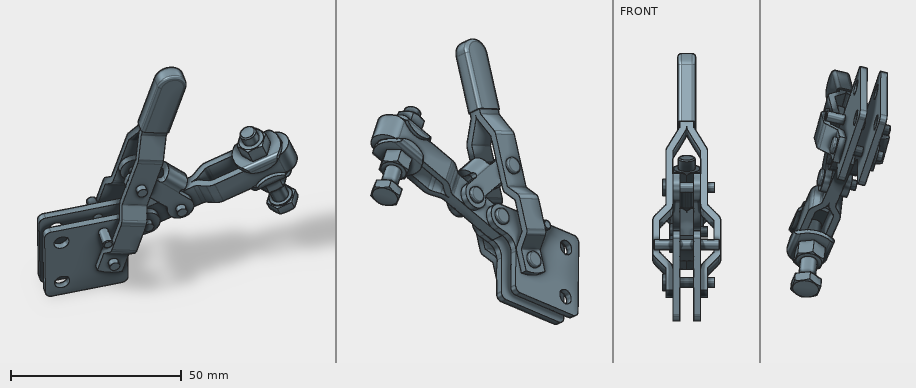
import cadquery as cq
import math


SHEET = 2.05
PLATE_INNER = SHEET
PLATE_OUTER = 2 * SHEET
HANDLE_OUTER = 3 * SHEET
OVERALL_WIDTH = 20.0
STRAP_HALF_WIDTH = 3.95

BASE_ANGLE = -0.7
BASE_FRONT = 6.0
BASE_BACK = 31.1
BASE_BOTTOM = -22.23
BASE_CORNER_R = 2.0
EAR_R = 4.0
EAR_SLOPE = 12.5
EAR_NECK_R = 4.7
MOUNT_HOLE_D = 4.5
MOUNT_HOLE_FORWARD = 26.0
MOUNT_HOLE_UPS = (-1.1, -17.2)
HANDLE_PIVOT_IN_BASE = (11.0, -11.1)
STOP_PIN_IN_BASE = (13.3, 0.0)

ARM_ANGLE = 160.5
ARM_LINK_PIVOT = 10.8
ARM_INNER = 2.8
ARM_BEND_START = 18.3
ARM_BEND_END = 22.25
ARM_BEND_R = 2.3
ARM_LENGTH = 47.95
STRAP_TAIL = 3.5
STRAP_TAIL_BULGE = 0.55

HANDLE_ANGLE = 106.8
HANDLE_LINK_PIVOT = 29.1
HANDLE_BEND_R = 0.35
HANDLE_LOWER_BEND = (4.08, 8.12)
HANDLE_MIDDLE_BEND = (17.8, 21.8)
HANDLE_UPPER_BEND = (38.95, 45.95)
GRIP_START = 48.06
GRIP_END = 69.9
GRIP_HALF_WIDTH = 4.45
GRIP_THICKNESS = 5.28
GRIP_ROUND = 1.05
TONGUE_END = 60.0

LINK_EYE_R = 4.0
LINK_NECK_OFFSET = 2.05
LINK_NECK_R = 1.5
HOOD_START = 4.0
HOOD_END = 12.1
HOOD_TOP = 7.9
HOOD_BEND_R = 3.8
HOOD_END_R = 1.3
RELIEF_R = 0.9
RELIEF_ALONG = 4.13
RELIEF_ACROSS = 4.8

PIN_D = 3.0
PIN_HEAD_D = 5.0
PIN_HEAD_H = 1.0
PIN_HEAD_ROUND = 0.4
PIN_TAIL = 2.0
STOP_PIN_LENGTH = 19.5
STOP_PIN_CHAMFER = 0.3

BOLT_ALONG = 38.2
BOLT_D = 5.0
BOLT_LENGTH = 30.0
BOLT_TOP = 13.35
BOLT_TIP_CHAMFER = 0.4
HEX_FLATS = 8.0
HEX_CHAMFER_DEPTH = 0.4
HEX_CHAMFER_WIDTH = 0.8
HEAD_H = 3.5
HEAD_COLLAR_D = 7.2
HEAD_COLLAR_H = 0.5
NUT_H = 4.7
WASHER_R = 7.5
WASHER_THICKNESS = 1.3
WASHER_HALF_WIDTH = 6.1
WASHER_BEND_R = 1.6
WASHER_LAP = 1.8
WASHER_LAP_R = 7.1


def offset(point, distance, angle):
    """The clamp-plane point at a distance and angle from another."""
    turn = math.radians(angle)
    return (point[0] + distance * math.cos(turn), point[1] + distance * math.sin(turn))


def direction(angle):
    forward, up = offset((0, 0), 1, angle)
    return cq.Vector(0, -forward, up)


def side_plane(point, angle):
    """Plane of a link's side: x along the link, y across it, normal -X."""
    return cq.Workplane(cq.Plane((0, -point[0], point[1]), direction(angle), (-1, 0, 0)))


def edge_plane(point, angle):
    """Plane of a link's edge: x along the link, y is +X, normal across the link."""
    return cq.Workplane(cq.Plane((0, -point[0], point[1]), direction(angle), direction(angle + 90)))


def both_sides(shape):
    return shape.union(shape.mirror("YZ"))


def rounded_outline(plane, corners):
    """Closed outline through (x, y, radius) corners; a zero radius leaves the corner sharp."""
    sketch = plane
    count = len(corners)
    for i, (x, y, radius) in enumerate(corners):
        here = cq.Vector(x, y)
        before = (cq.Vector(*corners[i - 1][:2]) - here).normalized()
        after = (cq.Vector(*corners[(i + 1) % count][:2]) - here).normalized()
        half_angle = before.getAngle(after) / 2
        reach = radius / math.tan(half_angle)
        start = here + before * reach
        bisector = (before + after).normalized()
        middle = here + bisector * (radius / math.sin(half_angle) - radius)
        end = here + after * reach
        if i == 0:
            sketch = sketch.moveTo(start.x, start.y)
        else:
            sketch = sketch.lineTo(start.x, start.y)
        if radius:
            sketch = sketch.threePointArc((middle.x, middle.y), (end.x, end.y))
    return sketch.close()


def bent_strap(plane, inner_points, bend_r):
    """Strap of sheet thickness whose inner face follows (along, x) points, full width across."""
    last = len(inner_points) - 1
    inner = []
    outer = []
    for i, (along, x) in enumerate(inner_points):
        before = inner_points[max(i - 1, 0)]
        after = inner_points[min(i + 1, last)]
        angle_in = math.atan2(x - before[1], along - before[0]) if i > 0 else 0
        angle_out = math.atan2(after[1] - x, after[0] - along) if i < last else 0
        mean = (angle_in + angle_out) / 2
        miter = SHEET / math.cos((angle_out - angle_in) / 2)
        outward_bend = angle_out > angle_in
        bends = angle_out != angle_in
        inner_r = (bend_r + SHEET if outward_bend else bend_r) if bends else 0
        outer_r = (bend_r if outward_bend else bend_r + SHEET) if bends else 0
        inner.append((along, x, inner_r))
        outer.append((along - miter * math.sin(mean), x + miter * math.cos(mean), outer_r))
    outline = rounded_outline(plane, inner + outer[::-1])
    return outline.extrude(STRAP_HALF_WIDTH, both=True)


def strap_envelope(plane, end):
    """Side outline of a strap with its bulged tail, through the whole clamp width."""
    return (
        plane.moveTo(end, STRAP_HALF_WIDTH)
        .lineTo(-STRAP_TAIL, STRAP_HALF_WIDTH)
        .threePointArc((-STRAP_TAIL - STRAP_TAIL_BULGE, 0), (-STRAP_TAIL, -STRAP_HALF_WIDTH))
        .lineTo(end, -STRAP_HALF_WIDTH)
        .close()
        .extrude(OVERALL_WIDTH, both=True)
    )


def base_point(point):
    return offset(offset((0, 0), point[0], BASE_ANGLE), point[1], BASE_ANGLE + 90)


arm_pivot = (0, 0)
handle_pivot = base_point(HANDLE_PIVOT_IN_BASE)
stop_point = base_point(STOP_PIN_IN_BASE)
link_on_arm = offset(arm_pivot, ARM_LINK_PIVOT, ARM_ANGLE)
link_on_handle = offset(handle_pivot, HANDLE_LINK_PIVOT, HANDLE_ANGLE)
link_length = math.dist(link_on_arm, link_on_handle)
link_angle = math.degrees(
    math.atan2(link_on_handle[1] - link_on_arm[1], link_on_handle[0] - link_on_arm[0])
)


def base_plates():
    plane = side_plane(arm_pivot, BASE_ANGLE).workplane(offset=PLATE_INNER)
    slope = math.radians(EAR_SLOPE)
    tangent = (-EAR_R * math.sin(slope), -EAR_R * math.cos(slope))
    neck_up = tangent[1] - (BASE_FRONT - tangent[0]) * math.tan(slope)
    corners = [
        (0, EAR_R, 0),
        (*tangent, 0),
        (BASE_FRONT, neck_up, EAR_NECK_R),
        (BASE_FRONT, BASE_BOTTOM, BASE_CORNER_R),
        (BASE_BACK, BASE_BOTTOM, BASE_CORNER_R),
        (BASE_BACK, EAR_R, BASE_CORNER_R),
    ]
    plate = rounded_outline(plane, corners).extrude(SHEET)
    plate = plate.union(plane.circle(EAR_R).extrude(SHEET))
    holes = plane.pushPoints([(MOUNT_HOLE_FORWARD, up) for up in MOUNT_HOLE_UPS])
    plate = plate.cut(holes.circle(MOUNT_HOLE_D / 2).extrude(SHEET))
    return both_sides(plate)


def clamping_arm():
    plane = edge_plane(arm_pivot, ARM_ANGLE)
    outer_r = ARM_INNER + SHEET
    nose_start = ARM_LENGTH - outer_r
    inner_points = [
        (-2 * STRAP_TAIL, 0),
        (ARM_BEND_START, 0),
        (ARM_BEND_END, ARM_INNER),
        (nose_start, ARM_INNER),
    ]
    strap = both_sides(bent_strap(plane, inner_points, ARM_BEND_R))
    nose = (
        plane.moveTo(nose_start, outer_r)
        .threePointArc((ARM_LENGTH, 0), (nose_start, -outer_r))
        .lineTo(nose_start, -ARM_INNER)
        .threePointArc((nose_start + ARM_INNER, 0), (nose_start, ARM_INNER))
        .close()
        .extrude(STRAP_HALF_WIDTH, both=True)
    )
    envelope = strap_envelope(side_plane(arm_pivot, ARM_ANGLE), ARM_LENGTH)
    return strap.union(nose).intersect(envelope)


def grip():
    centre = GRIP_END - GRIP_HALF_WIDTH
    body = (
        side_plane(handle_pivot, HANDLE_ANGLE)
        .moveTo(GRIP_START, GRIP_HALF_WIDTH)
        .lineTo(centre, GRIP_HALF_WIDTH)
        .threePointArc((GRIP_END, 0), (centre, -GRIP_HALF_WIDTH))
        .lineTo(GRIP_START, -GRIP_HALF_WIDTH)
        .close()
        .extrude(GRIP_THICKNESS / 2, both=True)
    )
    end_edge = cq.DirectionMinMaxSelector(direction(HANDLE_ANGLE), False)
    rim = body.faces("<X or >X").edges()
    rounded = rim.filter(lambda edge: edge not in rim.edges(end_edge).vals())
    return rounded.fillet(GRIP_ROUND)


def handle():
    wide_inner = OVERALL_WIDTH / 2 - SHEET
    inner_points = [
        (-2 * STRAP_TAIL, PLATE_OUTER),
        (HANDLE_LOWER_BEND[0], PLATE_OUTER),
        (HANDLE_LOWER_BEND[1], wide_inner),
        (HANDLE_MIDDLE_BEND[0], wide_inner),
        (HANDLE_MIDDLE_BEND[1], PLATE_OUTER),
        (HANDLE_UPPER_BEND[0], PLATE_OUTER),
        (HANDLE_UPPER_BEND[1], 0),
        (TONGUE_END, 0),
    ]
    plane = edge_plane(handle_pivot, HANDLE_ANGLE)
    strap = both_sides(bent_strap(plane, inner_points, HANDLE_BEND_R))
    envelope = strap_envelope(side_plane(handle_pivot, HANDLE_ANGLE), TONGUE_END)
    return strap.intersect(envelope).union(grip())


def link_cheeks():
    plane = side_plane(link_on_arm, link_angle).workplane(offset=PLATE_INNER)
    bar = (
        plane.moveTo(0, -LINK_NECK_OFFSET)
        .lineTo(link_length, -LINK_NECK_OFFSET)
        .lineTo(link_length, LINK_EYE_R)
        .lineTo(0, LINK_EYE_R)
        .close()
        .extrude(SHEET)
    )
    eyes = plane.pushPoints([(0, 0), (link_length, 0)]).circle(LINK_EYE_R).extrude(SHEET)
    cheek = bar.union(eyes)
    neck_start = math.sqrt(LINK_EYE_R**2 - LINK_NECK_OFFSET**2)
    for along in (neck_start, link_length - neck_start):
        corner = plane.plane.toWorldCoords((along, -LINK_NECK_OFFSET, SHEET / 2))
        cheek = cheek.edges("|X").edges(cq.NearestToPointSelector(corner.toTuple())).fillet(LINK_NECK_R)
    return both_sides(cheek)


def link_hood():
    """Bent web joining the two cheeks, with a relief hole and a rounded end cut."""
    side = side_plane(link_on_arm, link_angle)
    hood_plane = cq.Workplane(
        cq.Plane(side.plane.toWorldCoords((HOOD_START, 0, 0)), (1, 0, 0), direction(link_angle))
    )
    rough_length = HOOD_END + 2 * HOOD_END_R - HOOD_START

    def arch(half_width, top, bend_r):
        corners = [
            (-half_width, 0, 0),
            (-half_width, top, bend_r),
            (half_width, top, bend_r),
            (half_width, 0, 0),
        ]
        return rounded_outline(hood_plane, corners).extrude(rough_length)

    hood = arch(PLATE_OUTER, HOOD_TOP, HOOD_BEND_R)
    hood = hood.cut(arch(PLATE_INNER, HOOD_TOP - SHEET, HOOD_BEND_R - SHEET))
    relief = side.center(RELIEF_ALONG, RELIEF_ACROSS).circle(RELIEF_R).extrude(PLATE_OUTER, both=True)
    end_cut = rounded_outline(
        side,
        [
            (HOOD_END, 2 * HOOD_TOP, 0),
            (HOOD_END, LINK_EYE_R, HOOD_END_R),
            (link_length, LINK_EYE_R, 0),
            (link_length, 2 * HOOD_TOP, 0),
        ],
    ).extrude(PLATE_OUTER, both=True)
    return hood.cut(relief).cut(end_cut)


def headed_pin(point, half_stack):
    """Pin through a stack of sheets, with its head on the -X side and a plain tail at +X."""
    plane = side_plane(point, 0)
    shank = plane.workplane(offset=-half_stack - PIN_TAIL).circle(PIN_D / 2)
    shank = shank.extrude(2 * half_stack + PIN_TAIL)
    head = plane.workplane(offset=half_stack).circle(PIN_HEAD_D / 2).extrude(PIN_HEAD_H)
    return shank.union(head.faces("<X").edges().fillet(PIN_HEAD_ROUND))


def stop_pin():
    pin = side_plane(stop_point, 0).circle(PIN_D / 2).extrude(STOP_PIN_LENGTH / 2, both=True)
    return pin.faces("<X or >X").chamfer(STOP_PIN_CHAMFER)


def hexagon(height):
    """Hexagon standing on z = 0, with the corners of its top face turned off."""
    corner_d = HEX_FLATS / math.cos(math.pi / 6)
    turned = cq.Workplane().circle(corner_d / 2).extrude(height)
    turned = turned.faces(">Z").chamfer(HEX_CHAMFER_DEPTH, HEX_CHAMFER_WIDTH)
    return cq.Workplane().polygon(6, corner_d).extrude(height).intersect(turned)


def bolt():
    shank = cq.Workplane().workplane(offset=BOLT_TOP - BOLT_LENGTH).circle(BOLT_D / 2)
    shank = shank.extrude(BOLT_LENGTH).faces(">Z").chamfer(BOLT_TIP_CHAMFER)
    under_head = BOLT_TOP - BOLT_LENGTH
    collar = cq.Workplane().workplane(offset=under_head).circle(HEAD_COLLAR_D / 2)
    collar = collar.extrude(-HEAD_COLLAR_H)
    head = hexagon(HEAD_H - HEAD_COLLAR_H).mirror("XY")
    head = head.translate((0, 0, under_head - HEAD_COLLAR_H))
    return shank.union(collar).union(head)


def flanged_washer():
    """Round washer lying on the arm, its two sides bent down over the arm's faces."""
    top = STRAP_HALF_WIDTH + WASHER_THICKNESS
    lap_bottom = top - WASHER_BEND_R - WASHER_LAP
    corners = [
        (-WASHER_HALF_WIDTH, lap_bottom, 0),
        (-WASHER_HALF_WIDTH, top, WASHER_BEND_R),
        (WASHER_HALF_WIDTH, top, WASHER_BEND_R),
        (WASHER_HALF_WIDTH, lap_bottom, 0),
    ]
    washer = rounded_outline(cq.Workplane("YZ"), corners).extrude(WASHER_R, both=True)
    arm_half_thickness = ARM_INNER + SHEET
    arm_room = cq.Workplane().box(2 * WASHER_R, 2 * arm_half_thickness, 2 * STRAP_HALF_WIDTH)
    disc = cq.Workplane().circle(WASHER_R).extrude(top)
    lap_round = cq.Workplane("XZ").center(0, lap_bottom + WASHER_LAP_R).circle(WASHER_LAP_R)
    lap_round = lap_round.extrude(WASHER_HALF_WIDTH, both=True)
    flat = cq.Workplane().workplane(offset=top - WASHER_BEND_R)
    flat = flat.circle(WASHER_R).extrude(WASHER_BEND_R)
    return washer.cut(arm_room).intersect(disc).intersect(lap_round.union(flat))


def bolt_assembly():
    nut = hexagon(NUT_H).translate((0, 0, STRAP_HALF_WIDTH + WASHER_THICKNESS))
    clamped = flanged_washer().union(nut)
    assembly = bolt().union(clamped).union(clamped.mirror("XY"))
    forward, up = offset(arm_pivot, BOLT_ALONG, ARM_ANGLE)
    arm_frame = cq.Plane((0, -forward, up), direction(ARM_ANGLE), direction(ARM_ANGLE - 90))
    return cq.Workplane(assembly.val().moved(cq.Location(arm_frame)))


result = base_plates()
for part in (
    clamping_arm(),
    link_cheeks(),
    link_hood(),
    handle(),
    headed_pin(arm_pivot, PLATE_OUTER),
    headed_pin(link_on_arm, PLATE_OUTER),
    headed_pin(handle_pivot, HANDLE_OUTER),
    headed_pin(link_on_handle, HANDLE_OUTER),
    stop_pin(),
    bolt_assembly(),
):
    result = result.union(part)